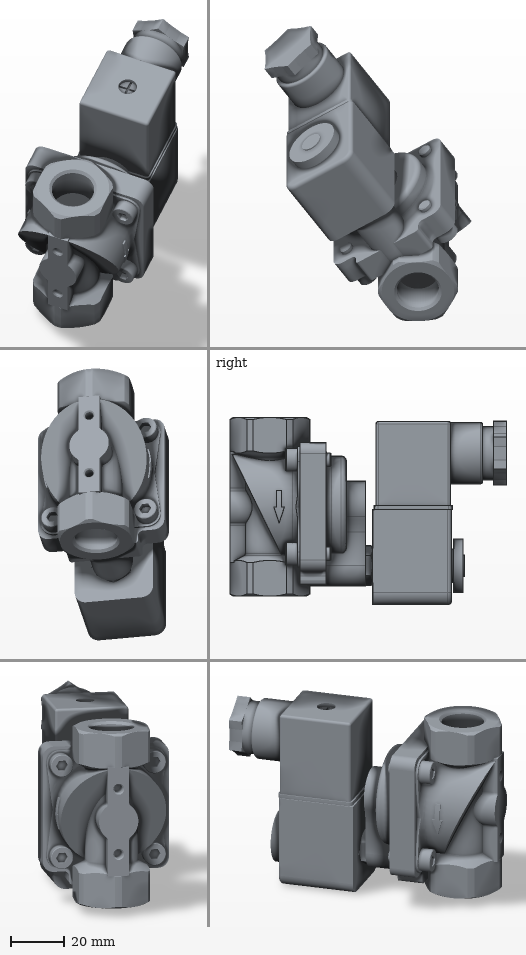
import cadquery as cq
import math


PIPE_HALF_LENGTH = 33.5
HEX_INNER_Z = 20.9
HEX_FLATS = 27.2
HEX_CORNER_RADIUS = 15.0
PIPE_RADIUS = 10.0
NECK_FILLET = 1.0
CONE_ANGLE = math.radians(30)
CHAMFER_SLOPE = math.tan(CONE_ANGLE)
PORT_DIAMETER = 15.9
PORT_MOUTH_DIAMETER = 17.8
PORT_DEPTH = 13.0

CHAMBER_RADIUS = 20.0
CHAMBER_CUT_TOP = (-14.05, 19.5)
CHAMBER_CUT_BOTTOM = (4.3, -18.0)
ARROW_HEIGHT = 0.5
ARROW_Y = 3.5
ARROW_HALF_LENGTH = 6.1
ARROW_SHAFT_WIDTH = 1.9
ARROW_HEAD_WIDTH = 4.0

PAD_Y = -15.0
PAD_WIDTH = 8.0
PAD_LENGTH = 41.6
PAD_DISC_DIAMETER = 15.0
PAD_NECK_FILLET = 1.35
PAD_HOLE_Z = 12.5
PAD_HOLE_DIAMETER = 3.24
PAD_HOLE_MOUTH = 4.2
PAD_HOLE_DEPTH = 6.0
DRILL_POINT_ANGLE = 118

FLANGE_Y = 10.45
PLATE_Y = 11.3
PLATE_END_Y = 21.1
PLATE_SIZE = 48.0
PLATE_CORNER = 4.0
FLANGE_FILLET = 2.0
FLANGE_CORNER_RADIUS = 5.0
FLANGE_WAIST = 20.5
TONGUE_HALF_WIDTH = 14.0
TONGUE_BOTTOM = -29.2
TONGUE_CORNER = 1.3
TONGUE_FILLET = 2.0
COVER_RADIUS = 19.0
COVER_END_Y = 28.7
COVER_FILLET = 2.0

SCREW_OFFSET = 17.65
SCREW_HEAD_DIAMETER = 8.5
SCREW_HEAD_HEIGHT = 4.5
SCREW_HEAD_CHAMFER = 0.22
SCREW_SOCKET_FLATS = 4.0
SCREW_SOCKET_DEPTH = 2.5
SCREW_DIAMETER = 5.0
SCREW_TIP_Y = 23.0
SCREW_TIP_CHAMFER = 0.4

HOUSING_END_Y = 35.9
HOUSING_RADIUS = 9.6
ARM_RADIUS = 7.7
ARM_FILLET = 15.0
ARMATURE_Z = -22.05
TUBE_HEX_FLATS = 13.0
TUBE_DIAMETER = 9.2
WASHER_DIAMETER = 12.5
NUT_DIAMETER = 20.0
NUT_Y = 68.9
NUT_END_Y = 72.5
TUBE_TIP_DIAMETER = 8.0
TUBE_TIP_Y = 73.0

COIL_Y = 38.5
COIL_END_Y = 68.1
COIL_WIDTH = 29.8
COIL_BOTTOM = -36.7
COIL_TOP = -1.1
COIL_CORNER = 4.5
COIL_END_FILLET = 1.5
COIL_HOLE_X = -7.5
COIL_HOLE_DIAMETER = 2.1
COIL_HOLE_DEPTH = 0.5

GASKET_Y = 39.1
GASKET_END_Y = 68.4
GASKET_TOP = 0.4
GASKET_WIDTH = 29.0
GASKET_CORNER = 1.5
CONNECTOR_Y = 39.8
CONNECTOR_END_Y = 67.8
CONNECTOR_WIDTH = 28.0
CONNECTOR_TOP = 32.0
CONNECTOR_FILLET = 1.0
RECESS_DIAMETER = 7.0
RECESS_DEPTH = 1.5
CROSS_WIDTH = 0.9
CROSS_DEPTH = 1.0
GLAND_Z = 20.1
GLAND_DIAMETER = 23.0
GLAND_END_Y = 79.8
GLAND_FILLET = 0.9
GLAND_NECK_DIAMETER = 20.0
GLAND_NUT_Y = 83.8
GLAND_NUT_END_Y = 88.8
GLAND_NUT_FLATS = 20.8
GLAND_NUT_RECESS = 0.4
GLAND_NUT_RECESS_HALF = 2.5


def at_y(y):
    """Sketch plane at a given Y, with local axes X and Z."""
    return cq.Workplane("XZ", origin=(0, y, 0))


def cylinder_y(diameter, y_start, y_end, x=0.0, z=0.0):
    return at_y(y_start).center(x, z).circle(diameter / 2).extrude(y_start - y_end)


def box_between(x_half, y_start, y_end, z_start, z_end):
    return cq.Workplane("XY").box(
        2 * x_half, y_end - y_start, z_end - z_start, centered=(True, False, False)
    ).translate((0, y_start, z_start))


def hexagon_points(flats, first_angle):
    radius = flats / math.sqrt(3)
    angles = [math.radians(first_angle + 60 * i) for i in range(6)]
    return [(radius * math.cos(a), radius * math.sin(a)) for a in angles]


def pipe_end():
    """Upper hexagonal pipe end, turned to 30 degree cones at both ends."""
    flat_radius = HEX_FLATS / 2
    outer_drop = (HEX_CORNER_RADIUS - flat_radius) * CHAMFER_SLOPE
    neck_z = HEX_INNER_Z - (HEX_CORNER_RADIUS - PIPE_RADIUS) * CHAMFER_SLOPE
    fillet_turn = math.pi / 2 - CONE_ANGLE
    fillet_reach = NECK_FILLET * math.tan(fillet_turn / 2)
    fillet_start_z = neck_z - fillet_reach
    fillet_end = (
        PIPE_RADIUS + fillet_reach * math.cos(CONE_ANGLE),
        neck_z + fillet_reach * math.sin(CONE_ANGLE),
    )
    fillet_middle = (
        PIPE_RADIUS + NECK_FILLET * (1 - math.cos(fillet_turn / 2)),
        fillet_start_z + NECK_FILLET * math.sin(fillet_turn / 2),
    )
    prism = (
        cq.Workplane("XY", origin=(0, 0, fillet_start_z))
        .polyline(hexagon_points(HEX_FLATS, 90))
        .close()
        .extrude(PIPE_HALF_LENGTH - fillet_start_z)
    )
    turned = (
        cq.Workplane("XZ")
        .moveTo(0, fillet_start_z)
        .lineTo(PIPE_RADIUS, fillet_start_z)
        .threePointArc(fillet_middle, fillet_end)
        .lineTo(HEX_CORNER_RADIUS, HEX_INNER_Z)
        .lineTo(HEX_CORNER_RADIUS, PIPE_HALF_LENGTH - outer_drop)
        .lineTo(flat_radius, PIPE_HALF_LENGTH)
        .lineTo(0, PIPE_HALF_LENGTH)
        .close()
        .revolve(360, (0, 0), (0, 1))
    )
    return prism.intersect(turned)


def port():
    """Upper blind port with a chamfered mouth."""
    mouth_depth = (PORT_MOUTH_DIAMETER - PORT_DIAMETER) / 2
    floor_z = PIPE_HALF_LENGTH - PORT_DEPTH
    return (
        cq.Workplane("XZ")
        .polyline([
            (0, floor_z),
            (PORT_DIAMETER / 2, floor_z),
            (PORT_DIAMETER / 2, PIPE_HALF_LENGTH - mouth_depth),
            (PORT_MOUTH_DIAMETER / 2, PIPE_HALF_LENGTH),
            (0, PIPE_HALF_LENGTH),
        ])
        .close()
        .revolve(360, (0, 0), (0, 1))
    )


def chamber():
    """Round chamber along Y, cut off by a sloping plane on the pipe side."""
    top_y, top_z = CHAMBER_CUT_TOP
    bottom_y, bottom_z = CHAMBER_CUT_BOTTOM
    slope = (top_y - bottom_y) / (top_z - bottom_z)
    cut_high = top_y + slope * (CHAMBER_RADIUS - top_z)
    cut_low = top_y + slope * (-CHAMBER_RADIUS - top_z)
    side_profile = (
        cq.Workplane("YZ")
        .polyline([
            (cut_high, CHAMBER_RADIUS),
            (PLATE_Y, CHAMBER_RADIUS),
            (PLATE_Y, -CHAMBER_RADIUS),
            (cut_low, -CHAMBER_RADIUS),
        ])
        .close()
        .extrude(CHAMBER_RADIUS, both=True)
    )
    barrel = cylinder_y(2 * CHAMBER_RADIUS, cut_high, PLATE_Y)
    lower_pipe = cq.Workplane("XY").circle(PIPE_RADIUS).extrude(HEX_INNER_Z, both=True)
    pipe_room = box_between(PIPE_RADIUS, -PIPE_RADIUS, PLATE_Y, -HEX_INNER_Z, HEX_INNER_Z)
    return barrel.intersect(side_profile).union(lower_pipe.intersect(pipe_room))


def flow_arrows():
    """Raised arrows on both sides of the chamber, pointing down the pipe."""
    shaft = ARROW_SHAFT_WIDTH / 2
    head = ARROW_HEAD_WIDTH / 2
    outline = [
        (ARROW_Y - shaft, ARROW_HALF_LENGTH),
        (ARROW_Y + shaft, ARROW_HALF_LENGTH),
        (ARROW_Y + shaft, 0),
        (ARROW_Y + head, 0),
        (ARROW_Y, -ARROW_HALF_LENGTH),
        (ARROW_Y - head, 0),
        (ARROW_Y - shaft, 0),
    ]
    raised_radius = CHAMBER_RADIUS + ARROW_HEIGHT
    bars = cq.Workplane("YZ").polyline(outline).close().extrude(raised_radius, both=True)
    return bars.intersect(cylinder_y(2 * raised_radius, 0, PLATE_Y))


def mounting_pad():
    bar = at_y(PAD_Y).rect(PAD_WIDTH, PAD_LENGTH).extrude(PAD_Y)
    pad = bar.union(cylinder_y(PAD_DISC_DIAMETER, PAD_Y, 0))
    disc_room = cq.selectors.BoxSelector(
        (-PAD_WIDTH, PAD_Y, -PAD_DISC_DIAMETER / 2),
        (PAD_WIDTH, 0, PAD_DISC_DIAMETER / 2),
    )
    return pad.edges(disc_room).edges("|Y").fillet(PAD_NECK_FILLET)


def pad_holes():
    """Two tapped holes with countersunk mouths and drill points."""
    radius = PAD_HOLE_DIAMETER / 2
    mouth = PAD_HOLE_MOUTH / 2
    shoulder_y = PAD_Y + mouth - radius
    bottom_y = PAD_Y + PAD_HOLE_DEPTH
    tip_y = bottom_y + radius / math.tan(math.radians(DRILL_POINT_ANGLE / 2))
    hole = (
        cq.Workplane("XY")
        .polyline([(0, PAD_Y), (mouth, PAD_Y), (radius, shoulder_y), (radius, bottom_y), (0, tip_y)])
        .close()
        .revolve(360, (0, 0), (0, 1))
    )
    return [hole.translate((0, 0, side * PAD_HOLE_Z)) for side in (1, -1)]


def flange():
    """Thin waisted flange, blended to the chamber by a fillet."""
    centre = SCREW_OFFSET
    radius = FLANGE_CORNER_RADIUS
    dx = centre - FLANGE_WAIST
    lean = math.atan2(dx, centre) + math.asin(radius / math.hypot(dx, centre))
    tangent_x = centre + radius * math.cos(lean)
    tangent_z = centre - radius * math.sin(lean)
    middle = math.pi / 4 - lean / 2
    middle_x = centre + radius * math.cos(middle)
    middle_z = centre + radius * math.sin(middle)
    edge = centre + radius
    blend_y = FLANGE_Y - FLANGE_FILLET
    depth = blend_y - PLATE_Y
    outline = (
        at_y(blend_y)
        .moveTo(centre, edge)
        .threePointArc((middle_x, middle_z), (tangent_x, tangent_z))
        .lineTo(FLANGE_WAIST, 0)
        .lineTo(tangent_x, -tangent_z)
        .threePointArc((middle_x, -middle_z), (centre, -edge))
        .lineTo(-centre, -edge)
        .threePointArc((-middle_x, -middle_z), (-tangent_x, -tangent_z))
        .lineTo(-FLANGE_WAIST, 0)
        .lineTo(-tangent_x, tangent_z)
        .threePointArc((-middle_x, middle_z), (-centre, edge))
        .close()
        .extrude(depth)
    )
    outer = CHAMBER_RADIUS + FLANGE_FILLET
    diagonal = FLANGE_FILLET * math.sqrt(0.5)
    turned = (
        cq.Workplane("XY")
        .moveTo(0, blend_y)
        .lineTo(CHAMBER_RADIUS, blend_y)
        .threePointArc((outer - diagonal, blend_y + diagonal), (outer, FLANGE_Y))
        .lineTo(2 * edge, FLANGE_Y)
        .lineTo(2 * edge, PLATE_Y)
        .lineTo(0, PLATE_Y)
        .close()
        .revolve(360, (0, 0), (0, 1))
    )
    return outline.intersect(turned)


def plate():
    """Square plate with a tongue reaching down below the armature housing."""
    depth = PLATE_Y - PLATE_END_Y
    square = at_y(PLATE_Y).rect(PLATE_SIZE, PLATE_SIZE).extrude(depth).edges("|Y").fillet(PLATE_CORNER)
    tongue = box_between(TONGUE_HALF_WIDTH, PLATE_Y, PLATE_END_Y, TONGUE_BOTTOM, 0)
    tongue = tongue.edges("|Y and <Z").fillet(TONGUE_CORNER)
    margin = TONGUE_FILLET / 2
    inner_corners = cq.selectors.BoxSelector(
        (-TONGUE_HALF_WIDTH - margin, PLATE_Y, -PLATE_SIZE / 2 - margin),
        (TONGUE_HALF_WIDTH + margin, PLATE_END_Y, -PLATE_SIZE / 2 + margin),
    )
    return square.union(tongue).edges(inner_corners).edges("|Y").fillet(TONGUE_FILLET)


def cover():
    """Round cover with a rounded rim and a concave fillet onto the plate."""
    diagonal = COVER_FILLET * math.sqrt(0.5)
    root = COVER_RADIUS + COVER_FILLET
    root_y = PLATE_END_Y + COVER_FILLET
    rim = COVER_RADIUS - COVER_FILLET
    rim_y = COVER_END_Y - COVER_FILLET
    return (
        cq.Workplane("XY")
        .moveTo(0, PLATE_END_Y)
        .lineTo(root, PLATE_END_Y)
        .threePointArc((root - diagonal, root_y - diagonal), (COVER_RADIUS, root_y))
        .lineTo(COVER_RADIUS, rim_y)
        .threePointArc((rim + diagonal, rim_y + diagonal), (rim, COVER_END_Y))
        .lineTo(0, COVER_END_Y)
        .close()
        .revolve(360, (0, 0), (0, 1))
    )


def screw():
    """Socket head screw on the Y axis, with its tip standing out behind the plate."""
    head_y = FLANGE_Y - SCREW_HEAD_HEIGHT
    head = cylinder_y(SCREW_HEAD_DIAMETER, head_y, FLANGE_Y).faces("<Y").chamfer(SCREW_HEAD_CHAMFER)
    socket = (
        at_y(head_y)
        .polyline(hexagon_points(SCREW_SOCKET_FLATS, 0))
        .close()
        .extrude(-SCREW_SOCKET_DEPTH)
    )
    shank = cylinder_y(SCREW_DIAMETER, FLANGE_Y, SCREW_TIP_Y).faces(">Y").chamfer(SCREW_TIP_CHAMFER)
    return head.cut(socket).union(shank)


def screw_room():
    """Space for a screw head, so that nothing else fills its socket."""
    return cylinder_y(SCREW_HEAD_DIAMETER, FLANGE_Y - SCREW_HEAD_HEIGHT, FLANGE_Y)


def armature_housing():
    """Keyhole-shaped housing: a round top blended into a narrower round-ended arm."""
    angle = math.acos((ARM_RADIUS + ARM_FILLET) / (HOUSING_RADIUS + ARM_FILLET))
    touch_x = HOUSING_RADIUS * math.cos(angle)
    touch_z = -HOUSING_RADIUS * math.sin(angle)
    fillet_x = ARM_RADIUS + ARM_FILLET
    fillet_z = -(HOUSING_RADIUS + ARM_FILLET) * math.sin(angle)
    blend_x = fillet_x - ARM_FILLET * math.cos(angle / 2)
    blend_z = fillet_z + ARM_FILLET * math.sin(angle / 2)
    return (
        at_y(PLATE_Y)
        .moveTo(-touch_x, touch_z)
        .threePointArc((0, HOUSING_RADIUS), (touch_x, touch_z))
        .threePointArc((blend_x, blend_z), (ARM_RADIUS, fillet_z))
        .lineTo(ARM_RADIUS, ARMATURE_Z)
        .threePointArc((0, ARMATURE_Z - ARM_RADIUS), (-ARM_RADIUS, ARMATURE_Z))
        .lineTo(-ARM_RADIUS, fillet_z)
        .threePointArc((-blend_x, blend_z), (-touch_x, touch_z))
        .close()
        .extrude(PLATE_Y - HOUSING_END_Y)
    )


def armature_tube():
    """Hexagon, tube through the coil, and the round nut that holds the coil."""
    corner_radius = TUBE_HEX_FLATS / math.sqrt(3)
    flat_radius = TUBE_HEX_FLATS / 2
    chamfer_y = COIL_Y - (corner_radius - flat_radius) * CHAMFER_SLOPE
    prism = (
        at_y(HOUSING_END_Y)
        .polyline(hexagon_points(TUBE_HEX_FLATS, 90))
        .close()
        .extrude(HOUSING_END_Y - COIL_Y)
    )
    turned = (
        cq.Workplane("XY")
        .polyline([
            (0, HOUSING_END_Y),
            (corner_radius, HOUSING_END_Y),
            (corner_radius, chamfer_y),
            (flat_radius, COIL_Y),
            (0, COIL_Y),
        ])
        .close()
        .revolve(360, (0, 0), (0, 1))
    )
    tube = cylinder_y(TUBE_DIAMETER, HOUSING_END_Y, NUT_Y)
    washer = cylinder_y(WASHER_DIAMETER, COIL_END_Y, NUT_Y)
    nut = cylinder_y(NUT_DIAMETER, NUT_Y, NUT_END_Y)
    tip = cylinder_y(TUBE_TIP_DIAMETER, NUT_END_Y, TUBE_TIP_Y)
    whole = prism.intersect(turned).union(tube).union(washer).union(nut).union(tip)
    return whole.translate((0, 0, ARMATURE_Z))


def make_valve():
    body = chamber().union(flow_arrows()).union(mounting_pad())
    body = body.union(pipe_end()).union(pipe_end().mirror("XY"))
    body = body.union(flange()).union(plate()).union(cover())
    body = body.union(armature_housing()).union(armature_tube())
    body = body.cut(port()).cut(port().mirror("XY"))
    for hole in pad_holes():
        body = body.cut(hole)
    for x_side in (1, -1):
        for z_side in (1, -1):
            place = (x_side * SCREW_OFFSET, 0, z_side * SCREW_OFFSET)
            body = body.cut(screw_room().translate(place)).union(screw().translate(place))
    return body


def make_coil():
    block = box_between(COIL_WIDTH / 2, COIL_Y, COIL_END_Y, COIL_BOTTOM, COIL_TOP)
    block = block.edges("|Y and <Z").fillet(COIL_CORNER)
    block = block.faces(">Y").edges("not >Z").fillet(COIL_END_FILLET)
    tube_bore = cylinder_y(TUBE_DIAMETER, COIL_Y, COIL_END_Y, z=ARMATURE_Z)
    locating_hole = cylinder_y(
        COIL_HOLE_DIAMETER, COIL_Y, COIL_Y + COIL_HOLE_DEPTH, COIL_HOLE_X, ARMATURE_Z
    )
    return block.cut(tube_bore).cut(locating_hole)


def gland_nut():
    """Hexagonal nut with the middle of each flat set back, leaving sharp corners."""
    corner_radius = GLAND_NUT_FLATS / math.sqrt(3)
    recess_distance = GLAND_NUT_FLATS / 2 - GLAND_NUT_RECESS
    recess_radius = math.hypot(recess_distance, GLAND_NUT_RECESS_HALF)
    recess_angle = math.degrees(math.atan2(GLAND_NUT_RECESS_HALF, recess_distance))
    points = []
    for side in range(6):
        middle = 60 * side
        for radius, angle in (
            (recess_radius, middle - recess_angle),
            (recess_radius, middle + recess_angle),
            (corner_radius, middle + 30),
        ):
            turn = math.radians(angle)
            points.append((radius * math.cos(turn), radius * math.sin(turn)))
    return (
        at_y(GLAND_NUT_Y)
        .center(0, GLAND_Z)
        .polyline(points)
        .close()
        .extrude(GLAND_NUT_Y - GLAND_NUT_END_Y)
    )


def cable_gland():
    barrel = cylinder_y(GLAND_DIAMETER, CONNECTOR_Y + CONNECTOR_WIDTH / 2, GLAND_END_Y, z=GLAND_Z)
    barrel = barrel.faces(">Y").edges().fillet(GLAND_FILLET)
    neck = cylinder_y(GLAND_NECK_DIAMETER, GLAND_END_Y, GLAND_NUT_Y, z=GLAND_Z)
    return barrel.union(neck).union(gland_nut())


def cut_screw_recess(body):
    """Round recess on top of the connector, with a crossed slot in its floor."""
    centre_y = (CONNECTOR_Y + CONNECTOR_END_Y) / 2
    floor_z = CONNECTOR_TOP - RECESS_DEPTH
    recess = (
        cq.Workplane("XY", origin=(0, centre_y, floor_z - CROSS_DEPTH))
        .circle(RECESS_DIAMETER / 2)
        .extrude(RECESS_DEPTH + CROSS_DEPTH)
    )
    quarter_size = (RECESS_DIAMETER - CROSS_WIDTH) / 2
    quarter_offset = (RECESS_DIAMETER + CROSS_WIDTH) / 4
    for x_side in (1, -1):
        for y_side in (1, -1):
            quarter = cq.Workplane("XY").box(
                quarter_size, quarter_size, CROSS_DEPTH, centered=(True, True, False)
            )
            place = (x_side * quarter_offset, centre_y + y_side * quarter_offset, floor_z - CROSS_DEPTH)
            recess = recess.cut(quarter.translate(place))
    return body.cut(recess)


def make_connector():
    gasket = box_between(GASKET_WIDTH / 2, GASKET_Y, GASKET_END_Y, COIL_TOP, GASKET_TOP)
    gasket = gasket.edges("|Z").fillet(GASKET_CORNER)
    box = box_between(CONNECTOR_WIDTH / 2, CONNECTOR_Y, CONNECTOR_END_Y, GASKET_TOP, CONNECTOR_TOP)
    box = box.edges("|Z or >Z").fillet(CONNECTOR_FILLET)
    return cut_screw_recess(gasket.union(box).union(cable_gland()))


valve = make_valve()
coil = make_coil()
connector = make_connector()

result = cq.Compound.makeCompound([body.solids().val() for body in (valve, coil, connector)])